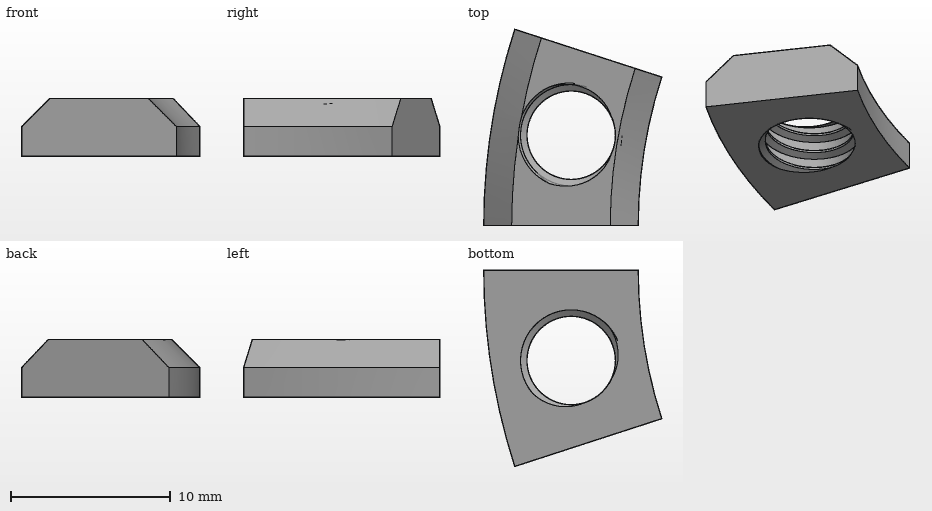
import cadquery as cq
import math

length = 12.3
sweep_angle = 18.0
width = 9.69
height = 3.63
edge_chamfer = 1.76
outer_radius = length / math.sin(math.radians(sweep_angle))
bend_center_x = outer_radius

hole_x = 5.49
hole_y = 5.66
major_radius = 6.35 / 2
minor_radius = 5.52 / 2
countersink_radius = 3.32
countersink_depth = countersink_radius - major_radius
pitch = 1.27
spare_turns = 2
crest_width = pitch / 8
flank_angle = 30.0
groove_overlap = 0.04
countersink_inner_radius = 3.12
ridge_margin = 0.12


def make_block():
    """Revolve the section, chamfered along both top edges, about the bend axis."""
    shoulder = height - edge_chamfer
    section = (
        cq.Workplane("XZ")
        .moveTo(0, 0)
        .lineTo(width, 0)
        .lineTo(width, shoulder)
        .lineTo(width - edge_chamfer, height)
        .lineTo(edge_chamfer, height)
        .lineTo(0, shoulder)
        .close()
    )
    return section.revolve(sweep_angle, (bend_center_x, 0.12, 0), (bend_center_x, 0, 0))


def make_minor_bore():
    """Plain through bore at the minor diameter of the thread."""
    return cq.Workplane("XY").circle(minor_radius).extrude(height)


def make_helical_bar(inner_radius, outer_radius, inner_width, outer_width, turns):
    """Right-hand helical bar of trapezoid section, starting at Z = 0 on +X."""
    corners = [
        (inner_radius, -inner_width / 2),
        (outer_radius, -outer_width / 2),
        (outer_radius, outer_width / 2),
        (inner_radius, inner_width / 2),
    ]
    helices = [
        cq.Wire.makeHelix(pitch, turns * pitch, radius).translate(cq.Vector(0, 0, z))
        for radius, z in corners
    ]
    sides = [
        cq.Face.makeRuledSurface(helices[i - 1], helices[i])
        for i in range(len(helices))
    ]
    start_cap = cq.Face.makeFromWires(
        cq.Wire.makePolygon([cq.Vector(radius, 0, z) for radius, z in corners], close=True)
    )
    end_cap = start_cap.translate(cq.Vector(0, 0, turns * pitch))
    shell = cq.Shell.makeShell(sides + [start_cap, end_cap])
    return cq.Workplane(obj=cq.Solid.makeSolid(shell).fix())


def ridge_width(radius):
    """Axial width of the thread ridge at a given radius."""
    return crest_width + 2 * (radius - minor_radius) * math.tan(math.radians(flank_angle))


def make_thread_groove():
    """Helical groove between the ridges, running past both faces of the block."""
    inner_radius = minor_radius - groove_overlap
    turns = math.ceil(height / pitch) + spare_turns
    groove = make_helical_bar(
        inner_radius,
        major_radius,
        pitch - ridge_width(inner_radius),
        pitch - ridge_width(major_radius),
        turns,
    )
    return groove.translate((0, 0, height - (turns - 0.5) * pitch))


def make_countersink():
    """Cone ring around the top of the bore, left solid where the ridge runs through it."""
    ring = (
        cq.Workplane("XZ")
        .moveTo(countersink_inner_radius, height - countersink_depth)
        .lineTo(major_radius, height - countersink_depth)
        .lineTo(countersink_radius, height)
        .lineTo(countersink_inner_radius, height)
        .close()
        .revolve(360, (0, 0, 0), (0, 1, 0))
    )
    ridge_inner_radius = countersink_inner_radius - ridge_margin
    ridge_outer_radius = countersink_radius + ridge_margin
    ridge_turns = 2
    ridge = make_helical_bar(
        ridge_inner_radius,
        ridge_outer_radius,
        ridge_width(ridge_inner_radius),
        ridge_width(ridge_outer_radius),
        ridge_turns,
    ).translate((0, 0, height - ridge_turns / 2 * pitch))
    return ring.cut(ridge)


hole_center = (hole_x, hole_y, 0)
result = (
    make_block()
    .cut(make_minor_bore().translate(hole_center))
    .cut(make_thread_groove().translate(hole_center))
    .cut(make_countersink().translate(hole_center))
)